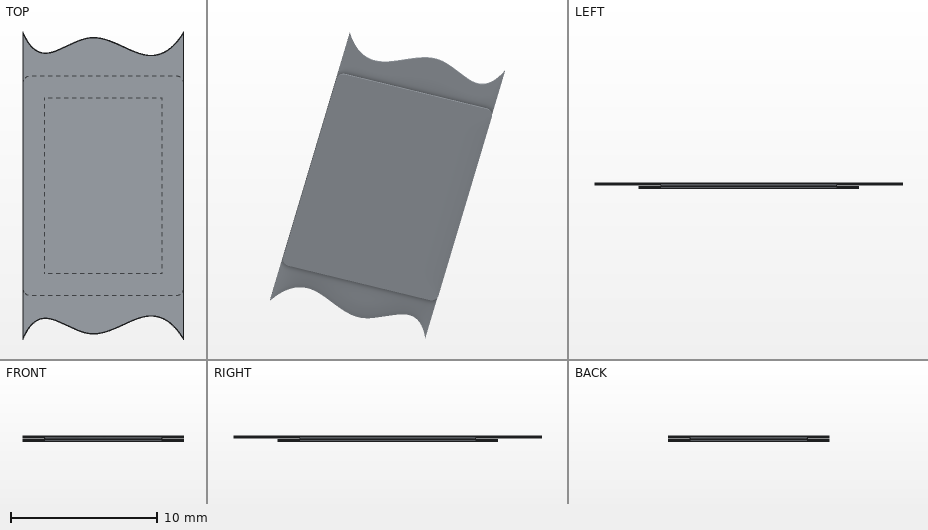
import cadquery as cq

width = 11.0
sheet_length = 21.0
total_thickness = 0.35

plate_length = 15.0
plate_thickness = 0.11
plate_corner_radius = 0.5

sheet_thickness = 0.11

spacer_margin = 1.5
spacer_width = width - 2 * spacer_margin
spacer_length = plate_length - 2 * spacer_margin
spacer_thickness = total_thickness - plate_thickness - sheet_thickness

half_width = width / 2
half_length = sheet_length / 2
left_trough = (-4.02, 9.07)
crest = (-0.91, 10.12)
right_trough = (2.98, 8.93)
wave = [(-half_width, half_length), left_trough, crest, right_trough, (half_width, half_length)]


def make_plate():
    """Thin rectangular plate with rounded corners."""
    blank = cq.Workplane("XY").rect(width, plate_length).extrude(plate_thickness)
    return blank.edges("|Z").fillet(plate_corner_radius)


def make_spacer():
    """Plain rectangular layer that joins the plate and the sheet."""
    base = cq.Workplane("XY", origin=(0, 0, plate_thickness))
    return base.rect(spacer_width, spacer_length).extrude(spacer_thickness)


def make_sheet():
    """Long sheet with straight sides and wavy ends that mirror each other in Y."""
    mirrored_wave = [(x, -y) for x, y in reversed(wave)]
    base = cq.Workplane("XY", origin=(0, 0, plate_thickness + spacer_thickness))
    outline = (
        base.moveTo(*wave[0])
        .spline(wave[1:], includeCurrent=True)
        .lineTo(*mirrored_wave[0])
        .spline(mirrored_wave[1:], includeCurrent=True)
        .close()
    )
    return outline.extrude(sheet_thickness)


plate = make_plate()
spacer = make_spacer()
sheet = make_sheet()

result = cq.Compound.makeCompound([plate.val(), spacer.val(), sheet.val()])